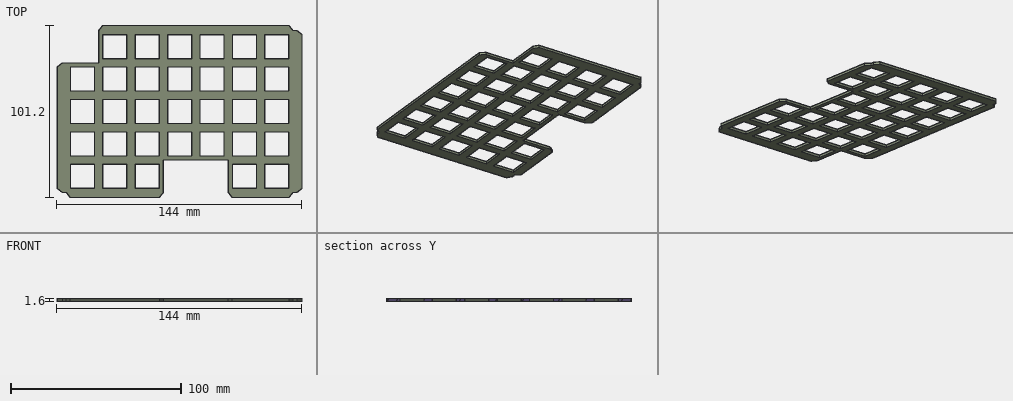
import cadquery as cq

plate_length = 144.0
plate_width = 101.2
plate_thickness = 1.6

columns = 7
rows = 5
first_to_last_column = 114.3
pitch = first_to_last_column / (columns - 1)
opening_size = 14.0

top_gap_columns = 1
bottom_gap_start = 3
bottom_gap_end = 5

plate_x = plate_length / 2
plate_y = plate_width / 2
grid_x = columns * pitch / 2
grid_y = rows * pitch / 2

bevel_long = plate_y - grid_y
bevel_short = 2.3

top_gap_x = -grid_x + top_gap_columns * pitch
top_gap_y = grid_y - pitch
bottom_gap_left = -grid_x + bottom_gap_start * pitch
bottom_gap_right = -grid_x + bottom_gap_end * pitch
bottom_gap_y = -grid_y + pitch


def has_opening(column, row):
    """Tell whether the cell at this column and row holds a key opening."""
    in_top_gap = row == rows - 1 and column < top_gap_columns
    in_bottom_gap = row == 0 and bottom_gap_start <= column < bottom_gap_end
    return not (in_top_gap or in_bottom_gap)


def make_plate():
    """Flat plate with bevelled corners, a cut-away corner and a notch below."""
    outline = [
        (-plate_x, -grid_y + bevel_short),
        (-plate_x + bevel_long, -grid_y),
        (-grid_x, -grid_y),
        (-grid_x + bevel_short, -plate_y),
        (bottom_gap_left - bevel_short, -plate_y),
        (bottom_gap_left, -grid_y),
        (bottom_gap_left, bottom_gap_y),
        (bottom_gap_right, bottom_gap_y),
        (bottom_gap_right, -grid_y),
        (bottom_gap_right + bevel_short, -plate_y),
        (grid_x - bevel_short, -plate_y),
        (grid_x, -grid_y),
        (plate_x - bevel_long, -grid_y),
        (plate_x, -grid_y + bevel_short),
        (plate_x, grid_y - bevel_short),
        (plate_x - bevel_long, grid_y),
        (grid_x, grid_y),
        (grid_x - bevel_short, plate_y),
        (top_gap_x + bevel_short, plate_y),
        (top_gap_x, grid_y),
        (top_gap_x, top_gap_y),
        (-plate_x + bevel_long, top_gap_y),
        (-plate_x, top_gap_y - bevel_short),
    ]
    return cq.Workplane("XY").polyline(outline).close().extrude(plate_thickness)


def make_openings():
    """Square prisms that fill every key opening."""
    centres = [
        (-grid_x + (column + 0.5) * pitch, -grid_y + (row + 0.5) * pitch)
        for column in range(columns)
        for row in range(rows)
        if has_opening(column, row)
    ]
    squares = cq.Workplane("XY").pushPoints(centres).rect(opening_size, opening_size)
    return squares.extrude(plate_thickness)


result = make_plate().cut(make_openings())